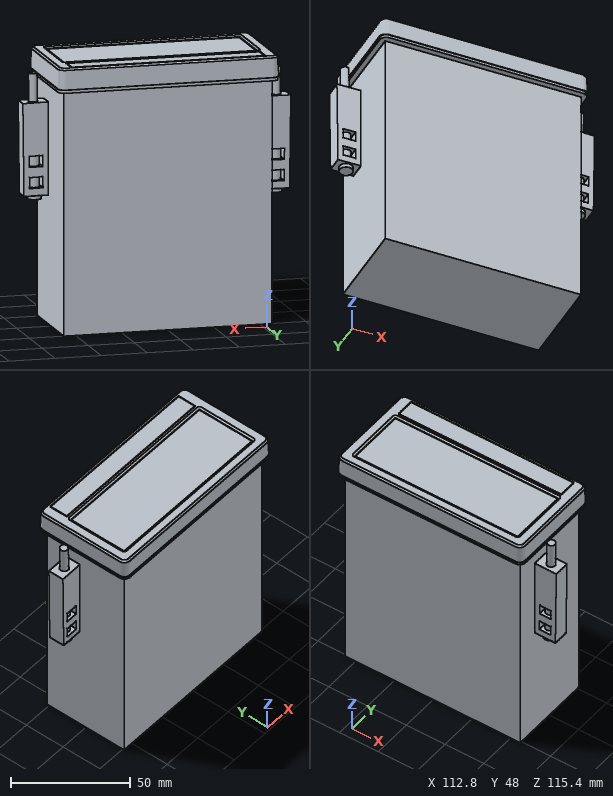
import cadquery as cq
import math

case_width = 90.5
case_depth = 42.0

overall_height = 115.4
bezel_width = 96.0
bezel_depth = 48.0
bezel_height = 10.6
bezel_lip_height = 1.4
bezel_draft = 0.29
bezel_corner_radius = 3.0
bezel_edge_chamfer = 0.8
bezel_bottom = overall_height - bezel_height

pane_width = 84.0
pane_depth = 28.8
pane_thickness = 1.2
pane_center_y = -3.9
pane_step = 0.3
rim_slope_width = 1.0
rim_slope_angle = 30
rim_corner_radius = 1.3
rim_height = rim_slope_width * math.tan(math.radians(rim_slope_angle))
pane_top = overall_height - rim_height - pane_step

label_width = pane_width
label_depth = 9.0
label_recess = 0.3
label_center_y = 17.3

bracket_tilt = 0.7
bracket_outer_x = -55.9
bracket_height = 39.9
bracket_thickness = 7.6
bracket_center_y = 6.8
bracket_bottom = 55.4
window_width = 5.8
window_height = 4.7
window_levels = (5.7, 14.8)

screw_axis_x = -50.4
head_diameter = 6.0
head_height = 1.8
shank_diameter = 4.6
shank_length = 20.8
rod_diameter = 3.7
rod_hole_diameter = 4.0
screw_length = 52.0


def rounded_block(lower_size, upper_size, radii, bottom, height):
    """Block whose rounded rectangle changes evenly from its lower to its upper size."""
    lower = cq.Sketch().rect(*lower_size).vertices().fillet(radii[0]).reset()
    upper = cq.Sketch().rect(*upper_size).vertices().fillet(radii[1]).reset()
    upper = upper.moved(cq.Location(cq.Vector(0, 0, height)))
    return cq.Workplane("XY", origin=(0, 0, bottom)).placeSketch(lower, upper).loft(ruled=True)


def make_case():
    return cq.Workplane("XY").rect(case_width, case_depth).extrude(bezel_bottom)


def pane_outline(level):
    """Rounded outline of the pane, parallel to the rim of the display opening."""
    outline = cq.Sketch().rect(pane_width, pane_depth)
    outline = outline.vertices().fillet(rim_corner_radius - rim_slope_width).reset()
    return cq.Workplane("XY", origin=(0, pane_center_y, level)).placeSketch(outline)


def make_pane():
    return pane_outline(pane_top).extrude(-pane_thickness)


def make_display_opening():
    pocket_depth = pane_step + pane_thickness
    pocket = pane_outline(pane_top - pane_thickness).extrude(pocket_depth)
    rim = pane_outline(pane_top + pane_step).extrude(rim_height, taper=rim_slope_angle - 90)
    return pocket.union(rim)


def make_bezel():
    widest = (bezel_width, bezel_depth)
    narrow = (bezel_width - 2 * bezel_draft, bezel_depth - 2 * bezel_draft)
    face = (narrow[0] - 2 * bezel_edge_chamfer, narrow[1] - 2 * bezel_edge_chamfer)
    side_radii = (bezel_corner_radius, bezel_corner_radius)
    edge_radii = (bezel_corner_radius, bezel_corner_radius - bezel_edge_chamfer)
    wall_bottom = bezel_bottom + bezel_lip_height
    edge_bottom = overall_height - bezel_edge_chamfer

    lip = rounded_block(narrow, narrow, side_radii, bezel_bottom, bezel_lip_height)
    wall = rounded_block(widest, narrow, side_radii, wall_bottom, edge_bottom - wall_bottom)
    edge = rounded_block(narrow, face, edge_radii, edge_bottom, bezel_edge_chamfer)
    label_plane = cq.Workplane("XY", origin=(0, label_center_y, overall_height))
    label = label_plane.rect(label_width, label_depth).extrude(-label_recess)
    return lip.union(wall).union(edge).cut(make_display_opening()).cut(label)


def lean(body):
    """Tilt a part of the -X mount about the Y direction at the foot of its screw axis."""
    foot = (screw_axis_x, 0, bracket_bottom)
    return body.rotate(foot, (screw_axis_x, 1, bracket_bottom), -bracket_tilt)


def mount_plane(level):
    """Horizontal plane on the upright screw axis, at a height above the bracket underside."""
    return cq.Workplane("XY", origin=(screw_axis_x, bracket_center_y, bracket_bottom + level))


def shank():
    return mount_plane(0).circle(shank_diameter / 2).extrude(shank_length)


def make_screw():
    head = mount_plane(0).circle(head_diameter / 2).extrude(-head_height)
    rod = mount_plane(0).circle(rod_diameter / 2).extrude(screw_length)
    return lean(head.union(shank()).union(rod))


def make_bracket(case):
    block = cq.Workplane("XY", origin=(bracket_outer_x, bracket_center_y, bracket_bottom)).box(
        case_width / 2, bracket_thickness, bracket_height, centered=(False, True, False)
    )
    for level in window_levels:
        window = mount_plane(level).box(window_width, bracket_thickness, window_height)
        block = block.cut(window)
    rod_hole = mount_plane(shank_length).circle(rod_hole_diameter / 2).extrude(bracket_height)
    return lean(block.cut(shank()).cut(rod_hole)).cut(case)


case = make_case()
bezel = make_bezel()
pane = make_pane()
bracket = make_bracket(case)
screw = make_screw()

brackets = []
screws = []
for angle in (0, 180):
    brackets.append(bracket.rotate((0, 0, 0), (0, 0, 1), angle).solids().val())
    screws.append(screw.rotate((0, 0, 0), (0, 0, 1), angle).solids().val())

result = cq.Compound.makeCompound([case.val(), bezel.solids().val(), pane.val(), *brackets, *screws])